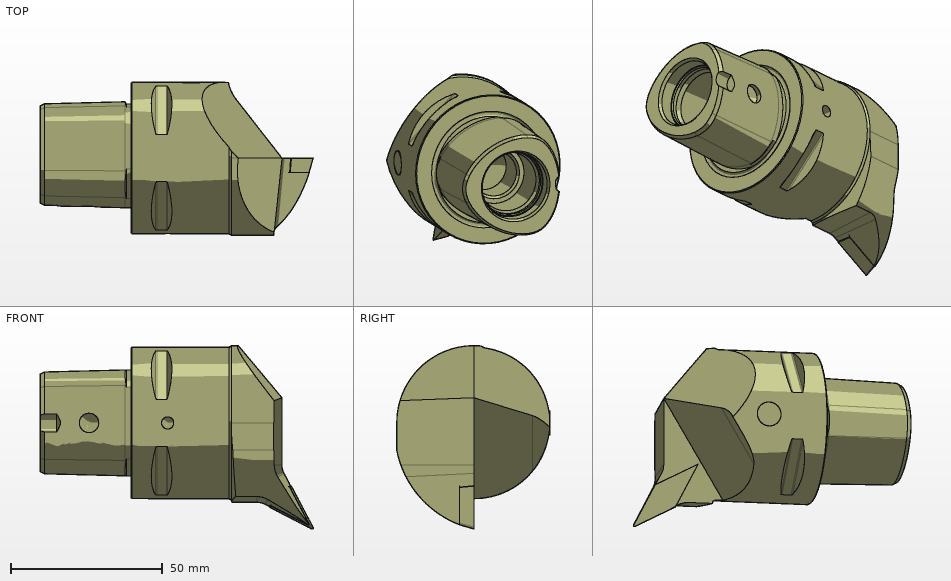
import cadquery as cq
import math


shank_length = 30.0
polygon_radius = 17.5
polygon_lobe = 1.1
polygon_end_x = -2.1
taper_per_mm = 1 / 40
seam_angle = 27.0
seam_points = 7
root_overlap = 1.0
nose_chamfer_length = 1.4
nose_chamfer_depth = 0.7

neck_radius = 17.85
relief_outer_radius = 19.55
relief_depth = 0.6
relief_lead = 0.5

flange_radius = 25.0
flange_end_x = 32.2
flange_chamfer = 0.3

mouth_radius = 11.85
mouth_depth = 1.05
entry_radius = 11.2
entry_depth = 5.5
seat_radius = 10.5
seat_chamfer = 0.4
seat_depth = 7.3
bore_radius = 9.85
bore_start = 8.9
bore_end = 22.0
drill_radius = 7.5
drill_chamfer = 0.8
drill_length = 12.0
drill_point_angle = 118.0

key_hole_diameter = 6.6
key_hole_y = -17.0
key_hole_depth = 5.4
shank_hole_diameter = 6.4
shank_hole_x = -13.9
shank_hole_bottom_y = -14.5
flange_hole_diameter = 4.0
flange_hole_x = 12.0
flange_hole_bottom_y = -20.0

slot_x = 10.0
slot_floor_width = 3.7
slot_floor_radius = 22.3
slot_flank_angle = 30.0
slot_corner = 0.5
slot_count = 4

plug_diameter = 8.0
plug_x = 19.8
plug_depth = 6.0

head_radius = 25.5
head_start_x = 33.0
head_front_x = 49.7
head_bottom_z = -26.2
head_draft = 6.1
shoulder_top_x = 35.3
shoulder_front_z = 8.3
side_flat_z = -9.0
arm_radius = 33.2
back_face_radius = 40.0
back_face_rise = 0.31
blend_radius = 6.0

tip_x = 60.0
tip_z = -35.0
insert_thickness = 4.76
insert_side = 16.6
insert_angle = 35.0
insert_bisector = 135.2
insert_clearance = 7.0
insert_nose_radius = 0.4
tip_room = 4.0
insert_overhang = 0.2

shoulder_run = 1.035
relief_lean = 0.6
relief_bend_x = 38.2
relief_bend_y = 19.3
relief_edge_x = 39.0

far = 60.0
outline_overshoot = 5.0
outline_back = 10.0
margin = 1.0


def polar(length, degrees):
    """Components of a vector of the given length and angle."""
    angle = math.radians(degrees)
    return length * math.cos(angle), length * math.sin(angle)


def revolved(points):
    """Solid of revolution about X from (x, radius) points."""
    return cq.Workplane("XY").polyline(points).close().revolve(360, (0, 0, 0), (1, 0, 0))


def drill(diameter, depth):
    """Drill along +Z from the origin, with its point beyond the full depth."""
    radius = diameter / 2
    point = radius / math.tan(math.radians(drill_point_angle / 2))
    outline = [(0, 0), (radius, 0), (radius, depth), (0, depth + point)]
    return cq.Workplane("XZ").polyline(outline).close().revolve(360, (0, 0, 0), (0, 1, 0))


def drill_toward_y(diameter, x, bottom_y):
    """Drill that enters from the -Y side and has its full diameter down to bottom_y."""
    start_y = -flange_radius - margin
    tool = drill(diameter, bottom_y - start_y)
    return tool.rotate((0, 0, 0), (1, 0, 0), -90).translate((x, start_y, 0))


def polygon_point(x, mean_radius, degrees):
    """Point on the three-lobed polygon whose outward normal has the given angle from +Y."""
    angle = math.radians(degrees)
    support = mean_radius + polygon_lobe * math.cos(3 * angle)
    slope = -3 * polygon_lobe * math.sin(3 * angle)
    y = support * math.cos(angle) - slope * math.sin(angle)
    z = support * math.sin(angle) + slope * math.cos(angle)
    return cq.Vector(x, y, z)


def polygon_wire(x, inset=0.0):
    """Closed polygon of six faces: a lobe and a flank, three times."""
    mean_radius = polygon_radius - (polygon_end_x - x) * taper_per_mm - inset
    edges = []
    for lobe in range(3):
        center = 120 * lobe
        seams = [center - seam_angle, center + seam_angle, center + 120 - seam_angle]
        for start, end in zip(seams, seams[1:]):
            step = (end - start) / (seam_points - 1)
            points = [polygon_point(x, mean_radius, start + i * step) for i in range(seam_points)]
            edges.append(cq.Edge.makeSpline(points))
    return cq.Wire.assembleEdges(edges)


def make_shank():
    """Polygon taper with a chamfered end, carried into the flange as a straight root."""
    chamfer_x = -shank_length + nose_chamfer_length
    end = polygon_wire(-shank_length, nose_chamfer_depth)
    start = polygon_wire(chamfer_x)
    nose = cq.Solid.makeLoft([end, start], True)
    taper = cq.Solid.makeLoft([start, polygon_wire(polygon_end_x)], True)
    root_path = cq.Vector(root_overlap - polygon_end_x, 0, 0)
    root = cq.Solid.extrudeLinear(polygon_wire(polygon_end_x), [], root_path)
    return cq.Workplane(nose).union(cq.Workplane(taper)).union(cq.Workplane(root))


def neck_groove():
    """Groove turned into the lobes and, with a rounded floor, into the flange face."""
    return (
        cq.Workplane("XY")
        .moveTo(0, relief_outer_radius)
        .threePointArc((relief_depth, (relief_outer_radius + neck_radius) / 2), (0, neck_radius))
        .lineTo(polygon_end_x + relief_lead, neck_radius)
        .lineTo(polygon_end_x, polygon_radius + polygon_lobe)
        .lineTo(polygon_end_x, relief_outer_radius)
        .close()
        .revolve(360, (0, 0, 0), (1, 0, 0))
    )


def bore():
    """Stepped bore, open at the shank end, with a drilled blind end."""
    chamfered_drill = drill_radius + drill_chamfer
    drill_end = bore_end + drill_length
    point = drill_radius / math.tan(math.radians(drill_point_angle / 2))
    wall = [
        (0, 0),
        (0, mouth_radius),
        (mouth_depth, entry_radius),
        (entry_depth, entry_radius),
        (entry_depth, seat_radius + seat_chamfer),
        (entry_depth + seat_chamfer, seat_radius),
        (seat_depth, seat_radius),
        (bore_start, bore_radius),
        (bore_end, bore_radius),
        (bore_end, chamfered_drill),
        (bore_end + drill_chamfer, drill_radius),
        (drill_end, drill_radius),
        (drill_end + point, 0),
    ]
    return revolved(wall).translate((-shank_length, 0, 0))


def make_flange():
    """Flange cylinder with a cone that widens it to the head."""
    return revolved([
        (0, 0),
        (0, flange_radius - flange_chamfer),
        (flange_chamfer, flange_radius),
        (flange_end_x, flange_radius),
        (head_start_x, head_radius),
        (head_start_x, 0),
    ])


def gripper_slots():
    """Trapezoid slots on the diagonals, with rounded corners at the floor."""
    depth = flange_radius + margin - slot_floor_radius
    half_floor = slot_floor_width / 2
    half_top = half_floor + depth * math.tan(math.radians(slot_flank_angle))
    slot = (
        cq.Workplane("XZ", origin=(slot_x, 0, slot_floor_radius))
        .polyline([(-half_floor, 0), (half_floor, 0), (half_top, depth), (-half_top, depth)])
        .close()
        .extrude(flange_radius, both=True)
        .edges("<Z and |Y")
        .fillet(slot_corner)
    )
    slots = cq.Workplane("XY")
    for i in range(slot_count):
        angle = (i + 0.5) * 360 / slot_count
        slots = slots.add(slot.rotate((0, 0, 0), (1, 0, 0), angle))
    return slots.vals()


def make_plug():
    """Cylinder with a flat outer end level with the flange radius."""
    return (
        cq.Workplane("XZ", origin=(plug_x, flange_radius, 0))
        .circle(plug_diameter / 2)
        .extrude(plug_depth)
    )


def insert_corner():
    """Sharp corner of the rhombus whose rounded nose reaches tip_x and tip_z."""
    reach = insert_nose_radius / math.sin(math.radians(insert_angle / 2))
    dx, dz = polar(reach, insert_bisector)
    return tip_x - insert_nose_radius - dx, tip_z + insert_nose_radius - dz


front_edge_angle = insert_bisector - insert_angle / 2
lower_edge_angle = insert_bisector + insert_angle / 2


def make_insert():
    """Rhombic insert, its rake face at Y = 0, with clearance flanks and a rounded nose."""
    x, z = insert_corner()
    front_x, front_z = polar(insert_side, front_edge_angle)
    lower_x, lower_z = polar(insert_side, lower_edge_angle)
    return (
        cq.Workplane("XZ")
        .moveTo(x, z)
        .lineTo(x + front_x, z + front_z)
        .lineTo(x + front_x + lower_x, z + front_z + lower_z)
        .lineTo(x + lower_x, z + lower_z)
        .close()
        .extrude(insert_thickness, taper=insert_clearance)
        .edges(cq.selectors.NearestToPointSelector((x, -insert_thickness / 2, z)))
        .fillet(insert_nose_radius)
    )


def tip_clearance():
    """Block that frees the rounded nose of the insert from the arm."""
    block = cq.Workplane("XY").box(tip_room, insert_thickness, tip_room)
    return block.translate((tip_x, -insert_thickness / 2, tip_z))


shoulder_slope = (head_radius - shoulder_front_z) / (head_front_x - shoulder_top_x)


def shoulder_x(z):
    """X of the upper slope of the head in the rake plane."""
    return head_front_x - (z - shoulder_front_z) / shoulder_slope


def arm_side():
    """Part of the head on the -Y side: a drafted outline within the round outside."""
    corner_x, corner_z = insert_corner()
    inset = insert_overhang / math.sin(math.radians(insert_angle / 2))
    dx, dz = polar(inset, insert_bisector)
    arm_x = corner_x + dx
    arm_z = corner_z + dz
    front_z = arm_z + (head_front_x - arm_x) * math.tan(math.radians(front_edge_angle))
    lower_x = arm_x + (head_bottom_z - arm_z) / math.tan(math.radians(lower_edge_angle))
    top_z = head_radius + outline_overshoot
    back_x = flange_end_x - outline_back
    front_setback = blend_radius * math.tan(math.radians((front_edge_angle - 90) / 2))
    lower_setback = blend_radius * math.tan(math.radians((180 - lower_edge_angle) / 2))
    front_dx, front_dz = polar(front_setback, front_edge_angle)
    lower_dx, lower_dz = polar(lower_setback, lower_edge_angle)
    outline = (
        cq.Workplane("XZ")
        .moveTo(back_x, top_z)
        .lineTo(shoulder_x(top_z), top_z)
        .lineTo(head_front_x, shoulder_front_z)
        .lineTo(head_front_x, front_z + front_setback)
        .tangentArcPoint((head_front_x - front_dx, front_z - front_dz), relative=False)
        .lineTo(arm_x, arm_z)
        .lineTo(lower_x - lower_dx, head_bottom_z - lower_dz)
        .tangentArcPoint((lower_x - lower_setback, head_bottom_z), relative=False)
        .lineTo(back_x, head_bottom_z)
        .close()
        .extrude(head_radius + margin, taper=head_draft)
    )
    outside = (
        cq.Workplane("YZ")
        .moveTo(0, tip_z)
        .lineTo(0, head_radius)
        .radiusArc((-head_radius, 0), -head_radius)
        .lineTo(-head_radius, side_flat_z)
        .radiusArc((0, tip_z), -arm_radius)
        .close()
        .extrude(far)
    )
    back_face = revolved([
        (head_start_x, 0),
        (head_start_x, head_radius),
        (head_start_x + back_face_rise * (back_face_radius - head_radius), back_face_radius),
        (far, back_face_radius),
        (far, 0),
    ])
    return outline.intersect(outside).intersect(back_face)


def shoulder_cut():
    """Space above the slope that falls away toward +Y."""
    top_z = shoulder_front_z + far
    low_z = shoulder_front_z - far
    outline = (
        cq.Workplane("XZ")
        .polyline([(shoulder_x(top_z), top_z), (shoulder_x(low_z), low_z), (shoulder_x(low_z), top_z)])
        .close()
    )
    reach = head_radius + margin
    return cq.Solid.extrudeLinear(outline.val(), [], cq.Vector(-shoulder_run * reach, reach, 0))


def front_relief():
    """Space in front of the leaning wall that leaves the rake face open."""
    reach = head_radius + margin
    outline = (
        cq.Workplane("XY", origin=(0, 0, shoulder_front_z))
        .moveTo(head_front_x, 0)
        .lineTo(relief_bend_x, relief_bend_y)
        .tangentArcPoint((relief_edge_x, reach), relative=False)
        .lineTo(far + head_front_x, reach)
        .lineTo(far + head_front_x, 0)
        .close()
        .val()
    )
    raised = outline.translate(cq.Vector(relief_lean * far, 0, far))
    return cq.Solid.extrudeLinear(raised, [], cq.Vector(-2 * relief_lean * far, 0, -2 * far))


def shank_side():
    """Half round part of the head on the +Y side."""
    return (
        cq.Workplane("YZ", origin=(head_start_x, 0, 0))
        .moveTo(0, -head_radius)
        .radiusArc((0, head_radius), -head_radius)
        .close()
        .extrude(head_front_x - head_start_x)
    )


plug = make_plug()
insert = make_insert()

holder = make_flange().union(make_shank()).cut(neck_groove())
holder = holder.union(shank_side())
holder = holder.cut(cq.Workplane(shoulder_cut())).cut(cq.Workplane(front_relief()))
holder = holder.union(arm_side())
holder = holder.cut(bore())
for slot in gripper_slots():
    holder = holder.cut(cq.Workplane(slot))
key_hole = drill(key_hole_diameter, key_hole_depth).rotate((0, 0, 0), (0, 1, 0), 90)
holder = holder.cut(key_hole.translate((-shank_length, key_hole_y, 0)))
holder = holder.cut(drill_toward_y(shank_hole_diameter, shank_hole_x, shank_hole_bottom_y))
holder = holder.cut(drill_toward_y(flange_hole_diameter, flange_hole_x, flange_hole_bottom_y))
holder = holder.cut(plug).cut(insert).cut(tip_clearance())

result = cq.Compound.makeCompound([*holder.solids().vals(), *insert.solids().vals(), plug.val()])